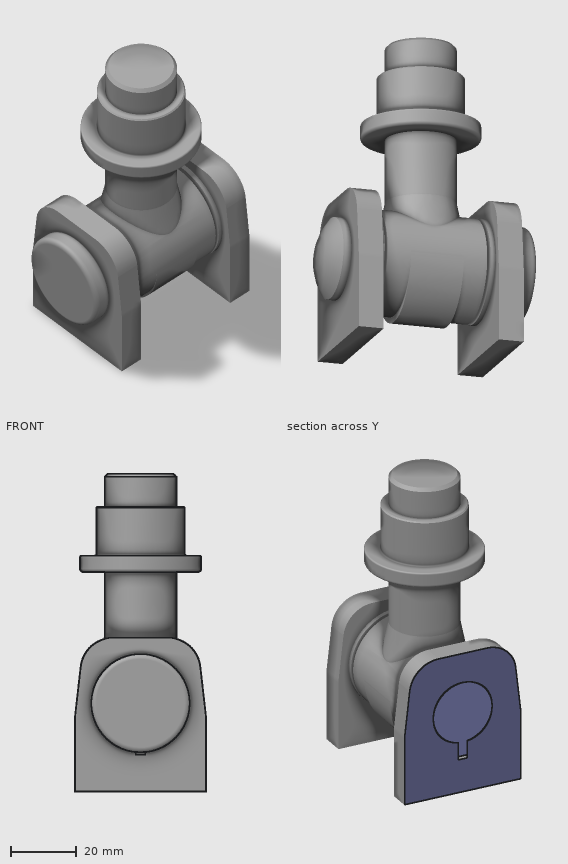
import cadquery as cq
import math


hub_diameter = 32.5
hub_width = 32.0
pin_diameter = 20.0
stem_diameter = 22.0
stem_root_z = 20.0
stem_root_taper = 12.0
flange_diameter = 37.0
flange_bottom_z = 40.0
flange_top_z = 45.0
flange_top_round = 0.5
flange_bottom_round = 1.0
collar_diameter = 27.0
collar_top_z = 60.0
collar_chamfer = 0.4
collar_root_fillet = 0.5
stem_top_z = 70.0
stem_chamfer = 1.0

pad_width = 17.0
pad_thickness = 2.0

washer_diameter = 33.0
washer_thickness = 1.5
washer_gap = 1.0
cheek_width = 40.0
cheek_thickness = 8.0
cheek_bottom_z = -27.0
cheek_top_z = 20.0
cheek_taper = 6.5
cheek_taper_start_z = -4.0
cheek_corner_radius = 10.0

head_diameter = 30.0
head_thickness = 6.0
head_round = 1.5
lug_width = 3.0
lug_reach = 14.8
notch_reach = 15.7
notch_depth = 3.0

cap_diameter = 25.4
cap_rim_thickness = 2.5
cap_dome_radius = 20.0

hub_face_y = hub_width / 2
washer_inner_y = hub_face_y + washer_gap
cheek_inner_y = washer_inner_y + washer_thickness
cheek_outer_y = cheek_inner_y + cheek_thickness


def cylinder_y(diameter, start_y, end_y):
    """Cylinder around the pin axis between two Y positions."""
    length = end_y - start_y
    return cq.Workplane("XZ", origin=(0, start_y, 0)).circle(diameter / 2).extrude(-length)


def key_block(reach, start_y, end_y):
    """Block as wide as the lug, from the pin axis down to a given reach."""
    length = end_y - start_y
    return cq.Workplane("XY", origin=(0, start_y, -reach)).box(
        lug_width, length, reach, centered=(True, False, False)
    )


def make_stem():
    """Straight shank with a flange, a collar and a plain end, on a tapered root."""
    shank = (
        cq.Workplane("XY")
        .workplane(offset=stem_root_z)
        .circle(stem_diameter / 2)
        .extrude(stem_top_z - stem_root_z)
        .faces(">Z")
        .chamfer(stem_chamfer)
    )
    flange = (
        cq.Workplane("XY")
        .workplane(offset=flange_bottom_z)
        .circle(flange_diameter / 2)
        .extrude(flange_top_z - flange_bottom_z)
        .faces(">Z")
        .edges()
        .fillet(flange_top_round)
        .faces("<Z")
        .edges()
        .fillet(flange_bottom_round)
    )
    collar = (
        cq.Workplane("XY")
        .workplane(offset=flange_top_z)
        .circle(collar_diameter / 2)
        .extrude(collar_top_z - flange_top_z)
        .faces(">Z")
        .chamfer(collar_chamfer)
    )
    reach = collar_diameter / 2 + collar_root_fillet
    around_collar_root = cq.selectors.BoxSelector(
        (-reach, -reach, flange_top_z - collar_root_fillet),
        (reach, reach, flange_top_z + collar_root_fillet),
        boundingbox=True,
    )
    flanged = flange.union(collar).edges(around_collar_root).fillet(collar_root_fillet)
    root = (
        cq.Workplane("XY")
        .workplane(offset=stem_root_z)
        .circle(stem_diameter / 2)
        .extrude(-stem_root_z, taper=-stem_root_taper)
    )
    return shank.union(flanged).union(root)


def make_eye_stud():
    hub = cylinder_y(hub_diameter, -hub_face_y, hub_face_y)
    bore = cylinder_y(pin_diameter, -hub_face_y, hub_face_y)
    return hub.union(make_stem()).cut(bore)


def make_pad():
    """Crescent that starts flush with the hub at axis height and is thickest at the bottom.

    The outside is the lower half of an ellipse and the inside is the hub surface.
    """
    radius = hub_diameter / 2
    depth = radius + pad_thickness
    outer = (
        cq.Workplane("XZ", origin=(0, -pad_width / 2, 0))
        .ellipse(radius, depth)
        .extrude(-pad_width)
    )
    upper_half = cq.Workplane("XY").box(
        2 * hub_diameter, hub_width, hub_diameter, centered=(True, True, False)
    )
    return outer.cut(upper_half).cut(cylinder_y(hub_diameter, -pad_width / 2, pad_width / 2))


def make_washer(start_y):
    end_y = start_y + washer_thickness
    return cylinder_y(washer_diameter, start_y, end_y).cut(cylinder_y(pin_diameter, start_y, end_y))


def make_cheek(start_y):
    """Upright plate with tapered, rounded shoulders and a hole for the pin."""
    half_width = cheek_width / 2
    taper_run = (cheek_top_z - cheek_taper_start_z) * math.tan(math.radians(cheek_taper))
    shoulder_x = half_width - taper_run
    plate = (
        cq.Workplane("XZ", origin=(0, start_y, 0))
        .polyline([
            (-half_width, cheek_bottom_z),
            (half_width, cheek_bottom_z),
            (half_width, cheek_taper_start_z),
            (shoulder_x, cheek_top_z),
            (-shoulder_x, cheek_top_z),
            (-half_width, cheek_taper_start_z),
        ])
        .close()
        .extrude(-cheek_thickness)
        .edges("|Y")
        .edges("not <Z")
        .fillet(cheek_corner_radius)
    )
    return plate.cut(cylinder_y(pin_diameter, start_y, start_y + cheek_thickness))


def make_pin():
    """Shank with a rounded front head and a lug under the head."""
    head_front_y = -cheek_outer_y - head_thickness
    shank = cylinder_y(pin_diameter, -cheek_outer_y, cheek_outer_y)
    head = cylinder_y(head_diameter, head_front_y, -cheek_outer_y).edges().fillet(head_round)
    lug = key_block(lug_reach, -cheek_outer_y - head_round, -cheek_outer_y + notch_depth)
    return shank.union(head).union(lug)


def make_end_cap():
    """Short cylindrical rim closed by a spherical dome."""
    radius = cap_diameter / 2
    rim_y = cheek_outer_y + cap_rim_thickness
    dome_height = cap_dome_radius - math.sqrt(cap_dome_radius**2 - radius**2)
    half_angle = math.asin(radius / cap_dome_radius) / 2
    mid_x = cap_dome_radius * math.sin(half_angle)
    mid_y = rim_y + dome_height - cap_dome_radius * (1 - math.cos(half_angle))
    return (
        cq.Workplane("XY")
        .moveTo(0, cheek_outer_y)
        .lineTo(radius, cheek_outer_y)
        .lineTo(radius, rim_y)
        .threePointArc((mid_x, mid_y), (0, rim_y + dome_height))
        .close()
        .revolve(360, (0, 0, 0), (0, 1, 0))
    )


eye_stud = make_eye_stud()
pad = make_pad()
washers = [make_washer(start_y) for start_y in (-cheek_inner_y, washer_inner_y)]
front_cheek, rear_cheek = [make_cheek(start_y) for start_y in (-cheek_outer_y, cheek_inner_y)]
notch = key_block(notch_reach, -cheek_outer_y, -cheek_outer_y + notch_depth)
front_cheek = front_cheek.cut(notch)
pin = make_pin()
end_cap = make_end_cap()

bodies = [eye_stud, pad, *washers, front_cheek, rear_cheek, pin, end_cap]
result = cq.Compound.makeCompound([body.val() for body in bodies])